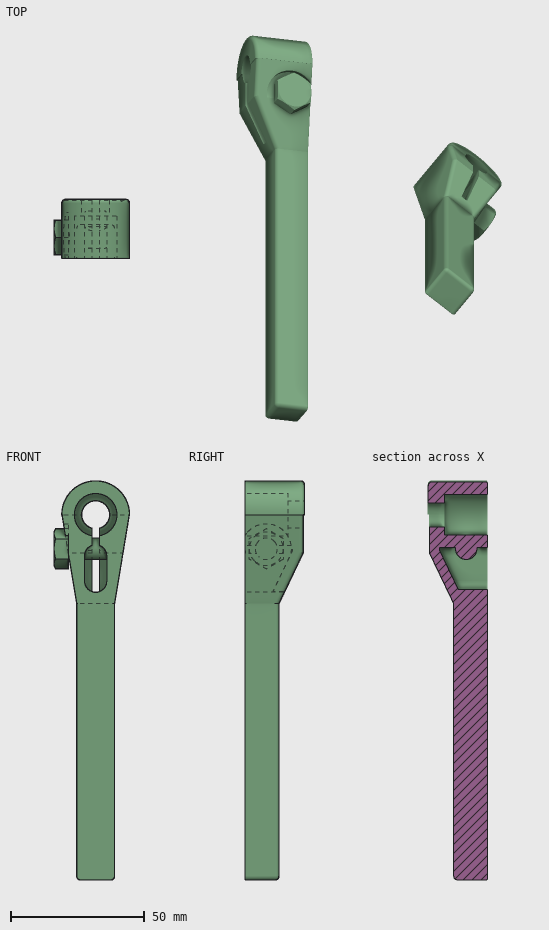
import cadquery as cq
import math


HUB_RADIUS = 12.7
HUB_DEPTH = 22.225
BORE_DIAMETER = 10.4
COUNTERBORE_DIAMETER = 15.9
COUNTERBORE_DEPTH = 16.0

ARM_TOP_HALF_WIDTH = 12.6
ARM_DEPTH = 21.8
SLOPE_TOP_Z = -14.2
BAR_TOP_Z = -33.2

BAR_WIDTH = 14.2
BAR_DEPTH = 12.7
BAR_BOTTOM_Z = -136.4

BACK_FILLET = 1.5
FRONT_FILLET = 0.4

GAP_WIDTH = 2.7
POCKET_WIDTH = 8.3
POCKET_TOP_Z = -11.2
POCKET_BOTTOM_Z = -28.9
POCKET_WALL = 4.0

BOLT_Y = 7.95
BOLT_Z = -12.7
SHANK_DIAMETER = 8.15
HEAD_ACROSS_FLATS = 13.0
HEAD_HEIGHT = 5.42
HEAD_SEAT_X = -10.2
HEAD_CHAMFER_ANGLE = math.radians(30)
HEAD_FACE_DIAMETER = 12.6
SHANK_LENGTH = 18.0
SPOTFACE_DIAMETER = 18.7

BAR_HALF_WIDTH = BAR_WIDTH / 2


def extrude_back(profile, depth):
    """Extrude an XZ profile from the front face toward +Y."""
    return profile.extrude(-depth)


def make_hub():
    """Half-round top of the hub, flat at z = 0."""
    profile = (
        cq.Workplane("XZ")
        .moveTo(-HUB_RADIUS, 0)
        .threePointArc((0, HUB_RADIUS), (HUB_RADIUS, 0))
        .close()
    )
    hub = extrude_back(profile, HUB_DEPTH)
    hub = hub.faces(">Y").edges("%CIRCLE").fillet(BACK_FILLET)
    return hub.faces("<Y").edges("%CIRCLE").fillet(FRONT_FILLET)


def make_arm():
    """Tapered arm: the front outline crossed with the sloping side outline."""
    front_profile = cq.Workplane("XZ").polyline([
        (-ARM_TOP_HALF_WIDTH, 0),
        (ARM_TOP_HALF_WIDTH, 0),
        (BAR_HALF_WIDTH, BAR_TOP_Z),
        (-BAR_HALF_WIDTH, BAR_TOP_Z),
    ]).close()
    side_profile = cq.Workplane("YZ").polyline([
        (0, 0),
        (ARM_DEPTH, 0),
        (ARM_DEPTH, SLOPE_TOP_Z),
        (BAR_DEPTH, BAR_TOP_Z),
        (0, BAR_TOP_Z),
    ]).close()
    side_prism = side_profile.extrude(HUB_RADIUS, both=True)
    arm = extrude_back(front_profile, ARM_DEPTH).intersect(side_prism)
    back_region = cq.selectors.BoxSelector(
        (-HUB_RADIUS, BAR_DEPTH, BAR_TOP_Z), (HUB_RADIUS, HUB_DEPTH, 0)
    )
    back_edges = arm.edges("(not |X) and (not |Y)").edges(back_region)
    arm = back_edges.fillet(BACK_FILLET)
    return arm.faces("<Y").edges("not |X").fillet(FRONT_FILLET)


def make_bar():
    """Straight bar, rounded along its back and foot edges."""
    bar = cq.Workplane("XY", origin=(0, BAR_DEPTH / 2, BAR_TOP_Z)).rect(BAR_WIDTH, BAR_DEPTH)
    bar = bar.extrude(BAR_BOTTOM_Z - BAR_TOP_Z)
    bar = bar.edges("(|Z and >Y) or (<Z and (not <Y))").fillet(BACK_FILLET)
    return bar.faces("<Y").edges("not >Z").fillet(FRONT_FILLET)


def make_bore():
    """Through bore along Y, stepped wider over its front part."""
    bore = extrude_back(cq.Workplane("XZ").circle(BORE_DIAMETER / 2), HUB_DEPTH)
    counterbore = extrude_back(cq.Workplane("XZ").circle(COUNTERBORE_DIAMETER / 2), COUNTERBORE_DEPTH)
    return bore.union(counterbore)


def make_gap():
    """Narrow gap along Z from the bore down to the round foot of the pocket, open front and back."""
    foot_center_z = POCKET_BOTTOM_Z + POCKET_WIDTH / 2
    straight = cq.Workplane("XZ").polyline([
        (-GAP_WIDTH / 2, 0),
        (GAP_WIDTH / 2, 0),
        (GAP_WIDTH / 2, foot_center_z),
        (-GAP_WIDTH / 2, foot_center_z),
    ]).close()
    foot_circle = cq.Workplane("XZ", origin=(0, 0, foot_center_z)).circle(POCKET_WIDTH / 2)
    foot_strip = cq.Workplane("XZ", origin=(0, 0, foot_center_z)).rect(GAP_WIDTH, POCKET_WIDTH)
    foot = extrude_back(foot_circle, HUB_DEPTH).intersect(extrude_back(foot_strip, HUB_DEPTH))
    return extrude_back(straight, HUB_DEPTH).union(foot)


def make_pocket():
    """Round-ended pocket in the front face, its floor parallel to the back of the arm."""
    outline = extrude_back(
        cq.Workplane("XZ", origin=(0, 0, (POCKET_TOP_Z + POCKET_BOTTOM_Z) / 2))
        .slot2D(POCKET_TOP_Z - POCKET_BOTTOM_Z, POCKET_WIDTH, 90),
        ARM_DEPTH,
    )
    slope_run = BAR_TOP_Z - SLOPE_TOP_Z
    slope_rise = BAR_DEPTH - ARM_DEPTH
    wall_along_y = POCKET_WALL * math.hypot(slope_run, slope_rise) / abs(slope_run)
    floor_corner_z = SLOPE_TOP_Z + (wall_along_y - POCKET_WALL) * slope_run / slope_rise
    depth_limit = cq.Workplane("YZ").polyline([
        (0, 0),
        (ARM_DEPTH - POCKET_WALL, 0),
        (ARM_DEPTH - POCKET_WALL, floor_corner_z),
        (BAR_DEPTH - wall_along_y, BAR_TOP_Z),
        (0, BAR_TOP_Z),
    ]).close().extrude(HUB_RADIUS, both=True)
    return outline.intersect(depth_limit)


def make_spotface():
    """Flat seat for the bolt head cut into the sloping -X flank."""
    return (
        cq.Workplane("YZ", origin=(HEAD_SEAT_X, BOLT_Y, BOLT_Z))
        .circle(SPOTFACE_DIAMETER / 2)
        .extrude(-HEAD_HEIGHT)
    )


def make_bolt():
    """Hexagon-head bolt: chamfered head on its seat and shank across the gap and pocket."""
    across_corners = HEAD_ACROSS_FLATS / math.cos(math.pi / 6)
    axis_plane = cq.Workplane("YZ", origin=(HEAD_SEAT_X, BOLT_Y, BOLT_Z))
    head = (
        axis_plane.transformed(rotate=(0, 0, 90))
        .polygon(6, across_corners)
        .extrude(-HEAD_HEIGHT)
    )
    chamfer_run = (across_corners - HEAD_FACE_DIAMETER) / 2
    chamfer_height = chamfer_run * math.tan(HEAD_CHAMFER_ANGLE)
    head_envelope = (
        axis_plane.circle(across_corners / 2)
        .extrude(-HEAD_HEIGHT)
        .faces("<X")
        .chamfer(chamfer_height, chamfer_run)
    )
    shank = axis_plane.circle(SHANK_DIAMETER / 2).extrude(SHANK_LENGTH)
    return head.intersect(head_envelope).union(shank)


result = (
    make_hub()
    .union(make_arm())
    .union(make_bar())
    .cut(make_bore())
    .cut(make_gap())
    .cut(make_pocket())
    .cut(make_spotface())
    .union(make_bolt())
)